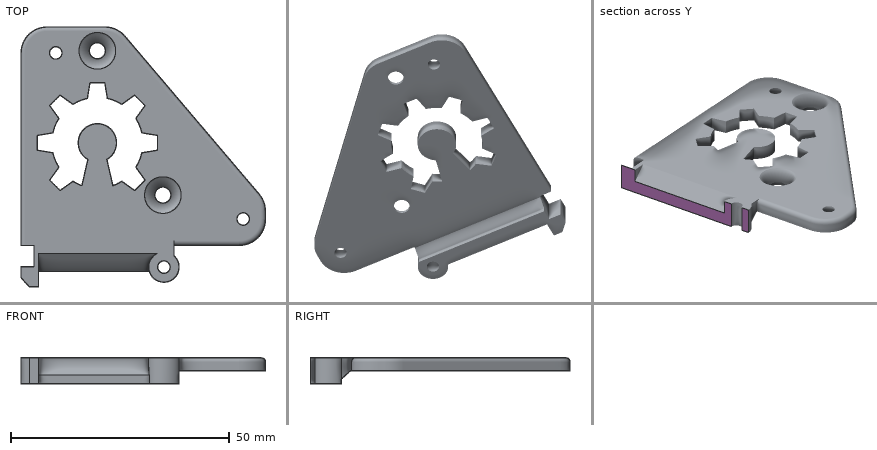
import cadquery as cq
import math

width = 56.0
length = 59.5
height = 6.0

plate_thickness = 3.05
plate_bottom = height - plate_thickness
plate_front = 9.45
corner_radius = 6.0
edge_round = 1.0
slope_top_x = 22.0
slope_right_y = 19.5

rail_left = 3.0
rail_right = 35.05
rail_front = 3.5
rail_back = 7.15
rail_lip = 1.15
underside_back = 9.15
ramp_back = 7.6
ramp_foot = 2.0
hook_right = 4.05
hook_back = 4.65
hook_chamfer_x = 1.9
hook_chamfer_y = 2.1
boss_center = (32.7, 4.5)
boss_diameter = 6.95

small_hole_diameter = 2.8
plate_holes = [(8.0, 53.55), (50.9, 15.5)]
screw_hole_diameter = 3.6
countersink_diameter = 8.4
countersink_angle = 90.0

gear_center = (17.5, 32.95)
root_radius = 10.4
tip_distance = 13.75
tooth_tip_half_width = 1.65
tooth_root_half_width = 2.25
tooth_pitch = 45.0
tooth_angles = [tooth_pitch * i for i in range(-1, 6)]
hub_radius = 4.4
stem_hub_half_width = 2.2
stem_root_half_width = 3.55
screw_holes = [(gear_center[0], 54.0), (32.5, 21.0)]


def half_chord_distance(radius, half_width):
    """Distance from a circle's center to a chord of the given half width."""
    return math.sqrt(radius**2 - half_width**2)


def make_plate():
    """Plate with rounded corners and top edges; its tongue joins the rail."""
    outline = [
        (0, plate_front),
        (rail_left, plate_front),
        (rail_left, underside_back),
        (rail_right, underside_back),
        (rail_right, plate_front),
        (width, plate_front),
        (width, slope_right_y),
        (slope_top_x, length),
        (0, length),
    ]
    plate = cq.Workplane("XY").workplane(offset=plate_bottom).polyline(outline).close()
    plate = plate.extrude(plate_thickness)
    rounded_corners = cq.selectors.BoxSelector(
        (rail_right + edge_round, 0, 0), (width + 0.6, length + 0.6, height)
    ) + cq.selectors.BoxSelector((-0.6, length - 0.6, 0), (width, length + 0.6, height))
    plate = plate.edges("|Z").edges(rounded_corners).fillet(corner_radius)
    left_edge = cq.selectors.NearestToPointSelector((0, length / 2, height))
    return plate.edges(left_edge).fillet(edge_round)


def make_rail():
    """Rail with a sloping front face and a slanted rear underside."""
    underside = [
        (rail_back, 0),
        (rail_back, rail_lip),
        (underside_back, plate_bottom),
        (underside_back, height),
    ]
    ramp = [(ramp_back, height), (rail_front, ramp_foot), (rail_front, 0)]
    upright = [(boss_center[1], height), (boss_center[1], 0)]

    def extrude_section(front, left, right):
        section = cq.Workplane("YZ").workplane(offset=left)
        return section.polyline(underside + front).close().extrude(right - left)

    rail = extrude_section(ramp, hook_right, rail_right)
    rail = rail.union(extrude_section(upright, rail_left, hook_right))
    return rail.union(extrude_section(upright, boss_center[0], rail_right))


def make_hook():
    """Hook at the left end of the rail, with one beveled corner."""
    outline = [
        (0, hook_back),
        (0, hook_chamfer_y),
        (hook_chamfer_x, 0),
        (hook_right, 0),
        (hook_right, hook_back),
    ]
    return cq.Workplane("XY").polyline(outline).close().extrude(height)


def make_boss():
    """Round boss, trimmed behind to the rear wall and slanted underside of the rail."""
    boss = cq.Workplane("XY").center(*boss_center).circle(boss_diameter / 2).extrude(height)
    clearance = [
        (rail_back, 0),
        (rail_back, rail_lip),
        (underside_back, plate_bottom),
        (underside_back, 0),
    ]
    return boss.cut(cq.Workplane("YZ").polyline(clearance).close().extrude(width))


def make_window():
    """Gear-shaped cutter with the hub and its stem left standing."""
    base = cq.Workplane("XY").workplane(offset=plate_bottom)
    window = base.circle(root_radius).extrude(plate_thickness)
    root_distance = half_chord_distance(root_radius, tooth_root_half_width)
    tooth_outline = [
        (0, -tooth_root_half_width),
        (root_distance, -tooth_root_half_width),
        (tip_distance, -tooth_tip_half_width),
        (tip_distance, tooth_tip_half_width),
        (root_distance, tooth_root_half_width),
        (0, tooth_root_half_width),
    ]
    tooth = base.polyline(tooth_outline).close().extrude(plate_thickness)
    for angle in tooth_angles:
        window = window.union(tooth.rotate((0, 0, 0), (0, 0, 1), angle))

    hub_distance = half_chord_distance(hub_radius, stem_hub_half_width)
    stem_root_distance = half_chord_distance(root_radius, stem_root_half_width)
    stem_outline = [
        (-stem_hub_half_width, -hub_distance),
        (-stem_root_half_width, -stem_root_distance),
        (-stem_root_half_width, -root_radius),
        (stem_root_half_width, -root_radius),
        (stem_root_half_width, -stem_root_distance),
        (stem_hub_half_width, -hub_distance),
    ]
    hub = base.circle(hub_radius).extrude(plate_thickness)
    stem = base.polyline(stem_outline).close().extrude(plate_thickness)
    return window.cut(hub).cut(stem).translate((*gear_center, 0))


result = make_plate().union(make_rail()).union(make_hook()).union(make_boss())
result = result.cut(make_window())

top_plane = cq.Workplane("XY").workplane(offset=height)
drills = top_plane.pushPoints(plate_holes + [boss_center]).circle(small_hole_diameter / 2).extrude(-height)
result = result.cut(drills)
result = (
    result.faces(">Z")
    .workplane(origin=(0, 0, height))
    .pushPoints(screw_holes)
    .cskHole(screw_hole_diameter, countersink_diameter, countersink_angle)
)